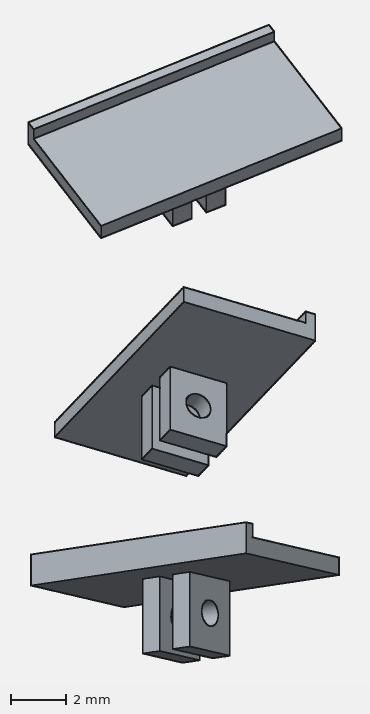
import cadquery as cq

plate_width = 5.4
plate_length = 10.0
plate_thickness = 0.65
lip_width = 0.4
lip_height = 0.5

lug_width = 2.32
lug_thickness = 0.8
lug_height = 2.75
lug_gap = 0.6
lug_pair_y = -0.06
front_hole_diameter = 0.95
rear_hole_diameter = 1.0
hole_depth_below_plate = 1.35


def make_plate():
    """Flat plate, underside at Z = 0, with the lip standing on one long edge."""
    plate = cq.Workplane("XY").box(plate_width, plate_length, plate_thickness, centered=(True, True, False))
    lip = (
        cq.Workplane("XY")
        .box(lip_width, plate_length, plate_thickness + lip_height, centered=(False, True, False))
        .translate((-plate_width / 2, 0, 0))
    )
    return plate.union(lip)


def make_lug(center_y, hole_diameter):
    """Rectangular lug below the plate with a pin hole through it along Y."""
    lug = cq.Workplane("XY").box(lug_width, lug_thickness, lug_height).translate((0, 0, -lug_height / 2))
    pin_hole = (
        cq.Workplane("XZ")
        .center(0, -hole_depth_below_plate)
        .circle(hole_diameter / 2)
        .extrude(lug_thickness / 2, both=True)
    )
    return lug.cut(pin_hole).translate((0, center_y, 0))


lug_offset = (lug_gap + lug_thickness) / 2
front_lug = make_lug(lug_pair_y - lug_offset, front_hole_diameter)
rear_lug = make_lug(lug_pair_y + lug_offset, rear_hole_diameter)

result = make_plate().union(front_lug).union(rear_lug)